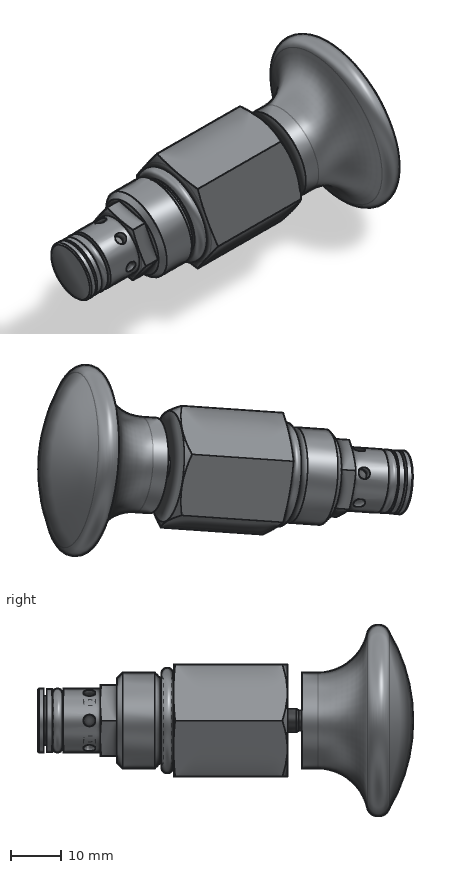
import cadquery as cq
import math

NOSE_DIAMETER = 12.7
NOSE_GROOVE_DIAMETER = 9.8
NOSE_EDGE_CHAMFER = 0.3
FLANGE_END = 1.3
BACKUP_RING_START = 1.8
BACKUP_RING_END = 2.9
BACKUP_RING_DIAMETER = 12.6
NOSE_SEAL_Y = 3.95
NOSE_SEAL_RADIUS = 1.0
NOSE_GROOVE_END = 5.15
NOSE_END = 12.45

PORT_DIAMETER = 2.4
PORT_COUNT = 6
PORT_Y = 10.3
PORT_DEPTH = 2.2

SMALL_HEX_FLATS = 14.1
SMALL_HEX_CHAMFER_DIAMETER = 14.0
SMALL_HEX_END = 15.7
COLLAR_DIAMETER = 19.1
NECK_DIAMETER = 16.75
COLLAR_CHAMFER = (COLLAR_DIAMETER - NECK_DIAMETER) / 2
COLLAR_END = 24.35
NECK_SEAL_DIAMETER = 20.9
NECK_SEAL_RADIUS = 1.2
NECK_SEAL_Y = 25.7

LARGE_HEX_FLATS = 22.2
LARGE_HEX_START = 26.95
LARGE_HEX_END = 49.5
LARGE_HEX_CHAMFER_DIAMETER = 22.05
REAR_CHAMFER_ANGLE = 30
FRONT_CHAMFER_ANGLE = 10

STEM_DIAMETER = 4.7
STEM_TIP_DIAMETER = 4.1
STEM_CHAMFER_START = 51.25
STEM_CHAMFER_END = 51.8

KNOB_START = 52.35
KNOB_NECK_DIAMETER = COLLAR_DIAMETER
KNOB_NECK_END = 55.55
KNOB_DIAMETER = 38.05
RIM_EDGE_DIAMETER = 34.85
RIM_START = 65.3
RIM_END = 69.7
KNOB_END = 74.5


def revolve_about_y(sketch):
    """Turn a closed half profile, drawn as radius against Y, about the Y axis."""
    return sketch.revolve(360, (0, 0, 0), (0, 1, 0))


def disc(diameter, start, end):
    """Cylinder on the Y axis between two positions."""
    return cq.Workplane("XZ", origin=(0, start, 0)).circle(diameter / 2).extrude(start - end)


def seal_ring(outer_diameter, section_radius, y):
    """Round-section ring about the Y axis."""
    centre_radius = outer_diameter / 2 - section_radius
    plane = cq.Plane(origin=(0, 0, 0), xDir=(-1, 0, 0), normal=(0, 0, -1))
    return revolve_about_y(cq.Workplane(plane).moveTo(-centre_radius, y).circle(section_radius))


def chamfered_hexagon(flats, start, end, chamfer_diameter, front_angle, rear_angle):
    """Hexagonal prism with corners on the X axis and conical chamfers at its ends."""
    corner_radius = flats / math.sqrt(3)
    prism = cq.Workplane("XZ", origin=(0, start, 0)).polygon(6, 2 * corner_radius).extrude(start - end)
    face_radius = chamfer_diameter / 2
    front_drop = (corner_radius - face_radius) * math.tan(math.radians(front_angle))
    rear_drop = (corner_radius - face_radius) * math.tan(math.radians(rear_angle))
    envelope = [(0, start), (face_radius, start), (corner_radius, start + front_drop)]
    envelope += [(corner_radius, end - rear_drop), (face_radius, end), (0, end)]
    return prism.intersect(revolve_about_y(cq.Workplane("XY").polyline(envelope).close()))


def make_nose():
    """Cartridge nose with its flange, backup ring, seal ring and radial ports."""
    nose = disc(NOSE_GROOVE_DIAMETER, 0, NOSE_END)
    nose = nose.union(disc(NOSE_DIAMETER, 0, FLANGE_END).faces("<Y").chamfer(NOSE_EDGE_CHAMFER))
    nose = nose.union(disc(BACKUP_RING_DIAMETER, BACKUP_RING_START, BACKUP_RING_END))
    nose = nose.union(seal_ring(NOSE_DIAMETER, NOSE_SEAL_RADIUS, NOSE_SEAL_Y))
    nose = nose.union(disc(NOSE_DIAMETER, NOSE_GROOVE_END, NOSE_END))
    for index in range(PORT_COUNT):
        port = cq.Workplane("YZ", origin=(NOSE_DIAMETER / 2 - PORT_DEPTH, PORT_Y, 0))
        port = port.circle(PORT_DIAMETER / 2).extrude(2 * PORT_DEPTH)
        nose = nose.cut(port.rotate((0, 0, 0), (0, 1, 0), index * 360 / PORT_COUNT))
    return nose


def make_collar():
    """Collar chamfered at both ends, with the sealed neck behind it."""
    collar = disc(COLLAR_DIAMETER, SMALL_HEX_END, COLLAR_END).faces("<Y or >Y").chamfer(COLLAR_CHAMFER)
    neck = disc(NECK_DIAMETER, COLLAR_END, LARGE_HEX_START)
    return collar.union(neck).union(seal_ring(NECK_SEAL_DIAMETER, NECK_SEAL_RADIUS, NECK_SEAL_Y))


def make_valve_body():
    """Nose, small hexagon, collar and large hexagon in one solid."""
    small_hex = chamfered_hexagon(
        SMALL_HEX_FLATS, NOSE_END, SMALL_HEX_END, SMALL_HEX_CHAMFER_DIAMETER, FRONT_CHAMFER_ANGLE, 0
    )
    large_hex = chamfered_hexagon(
        LARGE_HEX_FLATS,
        LARGE_HEX_START,
        LARGE_HEX_END,
        LARGE_HEX_CHAMFER_DIAMETER,
        FRONT_CHAMFER_ANGLE,
        REAR_CHAMFER_ANGLE,
    )
    return make_nose().union(small_hex).union(make_collar()).union(large_hex)


def make_stem():
    """Round stem between the large hexagon and the knob, stepped down at the knob."""
    profile = [
        (0, LARGE_HEX_END),
        (STEM_DIAMETER / 2, LARGE_HEX_END),
        (STEM_DIAMETER / 2, STEM_CHAMFER_START),
        (STEM_TIP_DIAMETER / 2, STEM_CHAMFER_END),
        (STEM_TIP_DIAMETER / 2, KNOB_START),
        (0, KNOB_START),
    ]
    return revolve_about_y(cq.Workplane("XY").polyline(profile).close())


def make_knob():
    """Mushroom knob with a flared neck, a rounded rim and a domed top."""
    neck_radius = KNOB_NECK_DIAMETER / 2
    edge_radius = RIM_EDGE_DIAMETER / 2
    rim_middle = (RIM_START + RIM_END) / 2
    dome_radius = (edge_radius**2 + (KNOB_END - RIM_END) ** 2) / (2 * (KNOB_END - RIM_END))
    half_edge_radius = edge_radius / 2
    dome_middle = KNOB_END - dome_radius + math.sqrt(dome_radius**2 - half_edge_radius**2)
    profile = (
        cq.Workplane("XY")
        .moveTo(0, KNOB_START)
        .lineTo(neck_radius, KNOB_START)
        .lineTo(neck_radius, KNOB_NECK_END)
        .tangentArcPoint((edge_radius, RIM_START), relative=False)
        .threePointArc((KNOB_DIAMETER / 2, rim_middle), (edge_radius, RIM_END))
        .threePointArc((half_edge_radius, dome_middle), (0, KNOB_END))
        .close()
    )
    return revolve_about_y(profile)


valve_body = make_valve_body()
stem = make_stem()
knob = make_knob()

result = cq.Compound.makeCompound([valve_body.val(), stem.val(), knob.val()])